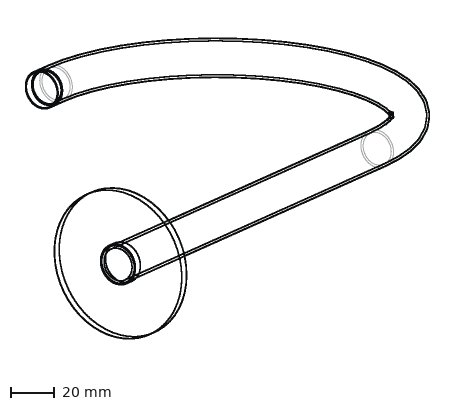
import cadquery as cq

flange_diameter = 70.0
flange_thickness = 4.0
flange_hole_diameter = 19.0

tube_diameter = 18.0
bore_diameter = 15.5
mouth_diameter = 17.0
mouth_depth = 4.3
tip_length = 11.5
overall_length = 308.0
overall_width = 220.0

tube_radius = tube_diameter / 2
bend_radius = (overall_width - flange_diameter / 2 - tube_radius) / 2
bend_start = overall_length - tube_radius - bend_radius
tip_end = bend_start - tip_length
tip_x = -2 * bend_radius


def cylinder_along_y(diameter, x, start, end):
    """Cylinder parallel to Y between two Y positions."""
    return cq.Workplane("XZ", origin=(x, start, 0)).circle(diameter / 2).extrude(start - end)


def swept_rod(diameter):
    """Round rod along the straight riser, the half-circle bend and the straight tip."""
    path = (
        cq.Workplane("XY")
        .lineTo(0, bend_start)
        .threePointArc((-bend_radius, bend_start + bend_radius), (tip_x, bend_start))
        .lineTo(tip_x, tip_end)
    )
    return cq.Workplane("XZ").circle(diameter / 2).sweep(path)


def make_spout():
    """Bent tube, open at both ends, with a shallow counterbore in its mouth."""
    tube = swept_rod(tube_diameter).cut(swept_rod(bore_diameter))
    return tube.cut(cylinder_along_y(mouth_diameter, tip_x, tip_end, tip_end + mouth_depth))


def make_flange():
    """Round wall plate with a clearance hole around the tube."""
    plate = cylinder_along_y(flange_diameter, 0, 0, flange_thickness)
    return plate.cut(cylinder_along_y(flange_hole_diameter, 0, 0, flange_thickness))


spout = make_spout()
flange = make_flange()

result = cq.Compound.makeCompound([spout.val(), flange.val()])